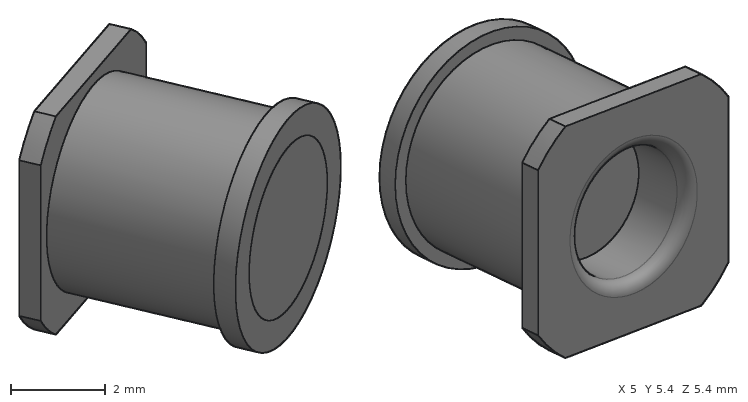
import cadquery as cq

length = 5.0
flange_size = 5.4
flange_thickness = 0.5
corner_diameter = 6.63
barrel_diameter = 4.8

opening_diameter = 3.0
opening_depth = 1.5
mouth_radius = 0.3

plug_diameter = 4.0
plug_length = length - opening_depth

front_x = -length / 2
plug_x = front_x + opening_depth
disc_x = length / 2 - flange_thickness


def make_cylinder(start_x, diameter, height):
    """Cylinder on the X axis that runs from start_x toward +X."""
    return cq.Workplane("YZ", origin=(start_x, 0, 0)).circle(diameter / 2).extrude(height)


def make_square_flange():
    """Square plate whose corners are cut back to a circle."""
    base = cq.Workplane("YZ", origin=(front_x, 0, 0))
    square = base.rect(flange_size, flange_size).extrude(flange_thickness)
    return square.intersect(make_cylinder(front_x, corner_diameter, flange_thickness))


def make_housing():
    """Flanged barrel with a rounded opening and a wider bore that holds the plug."""
    barrel = make_cylinder(front_x, barrel_diameter, length)
    disc = make_cylinder(disc_x, flange_size, flange_thickness)
    opening = make_cylinder(front_x, opening_diameter, opening_depth)
    plug_bore = make_cylinder(plug_x, plug_diameter, plug_length)
    housing = make_square_flange().union(barrel).union(disc).cut(opening).cut(plug_bore)

    smallest_radius = cq.selectors.RadiusNthSelector(0)
    return housing.faces("<X").edges("%CIRCLE").edges(smallest_radius).fillet(mouth_radius)


def make_plug():
    """Solid cylinder that fills the wider bore."""
    return make_cylinder(plug_x, plug_diameter, plug_length)


housing = make_housing()
plug = make_plug()

result = cq.Compound.makeCompound([housing.val(), plug.val()])